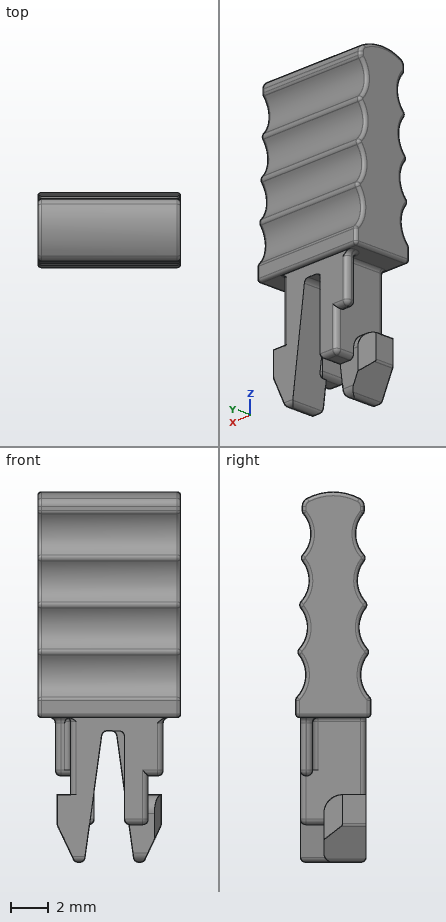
import cadquery as cq
import math

HANDLE_LENGTH = 7.6
HANDLE_HEIGHT = 12.0
BASE_HALF_WIDTH = 2.0
TOP_HALF_WIDTH = 1.65
CROWN_RADIUS = 3.0
GROOVE_COUNT = 4
GROOVE_PITCH = 2.5
FIRST_RIDGE_Z = 1.0
FIRST_RIDGE_HALF_WIDTH = 2.06
RIDGE_STEP = 0.09
GROOVE_RADIUS = 1.7
RIDGE_ROUND = 0.25
CROWN_ROUND = 0.5
HANDLE_ROUND = 0.2

STEM_HALF_LENGTH = 2.07
STEM_HALF_WIDTH = 1.75
STEM_DEPTH = 5.7
STEM_ROUND = 0.3
STEM_FLARE = 0.2
WING_REACH = 2.87
WING_THICKNESS = 0.65
WING_DEPTH = 3.1
WING_ROUND = 0.31
WING_FLARE = 0.3

SLOT_TOP_Z = -0.71
SLOT_ROUND = 0.3
SLOT_TOP_HALF_WIDTH = 0.365
SLOT_ANGLE = 7.8
GUARD_INNER_X = 0.81
LEG_LENGTH = 7.7
LEG_BOTTOM_Z = -LEG_LENGTH
HOOK_TOP_Z = -4.1
HOOK_TAPER_Z = -5.72
HOOK_REACH = 2.77
HOOK_TAPER_ANGLE = 25.5
HOOK_TAPER_ROUND = 0.35
HOOK_INNER_Y = 0.5
HOOK_TOP_ROUND = 1.0
HOOK_SIDE_ROUND = 0.5
TIP_ROUND = 0.3
HOOK_BEVEL_WIDTH = 1.0
HOOK_BEVEL_DROP = 0.37

OVERLAP = 0.3


def with_opposite(shape):
    """Join a shape to its copy turned half a turn about Z."""
    return shape.union(shape.rotate((0, 0, 0), (0, 0, 1), 180))


def box(x_min, x_max, y_min, y_max, z_min, z_max):
    size = (x_max - x_min, y_max - y_min, z_max - z_min)
    return cq.Workplane("XY").box(*size, centered=False).translate((x_min, y_min, z_min))


def slot_wall_x(z):
    """Distance of the sloping slot wall from the axis at height z."""
    return SLOT_TOP_HALF_WIDTH + (SLOT_TOP_Z - z) * math.tan(math.radians(SLOT_ANGLE))


def make_handle():
    """Grip with a grooved outline in the YZ plane, run along X and rounded on every edge."""
    half_pitch = GROOVE_PITCH / 2
    sagitta = GROOVE_RADIUS - math.sqrt(GROOVE_RADIUS**2 - half_pitch**2)

    def ridge(index):
        return (FIRST_RIDGE_HALF_WIDTH - index * RIDGE_STEP, FIRST_RIDGE_Z + index * GROOVE_PITCH)

    def valley(index):
        width, z = ridge(index + 0.5)
        return (width - sagitta, z)

    def groove_end(index, half_width, direction):
        """Point where a groove's circle meets a vertical wall."""
        valley_width, z = valley(index)
        offset = valley_width + GROOVE_RADIUS - half_width
        return (half_width, z + direction * math.sqrt(GROOVE_RADIUS**2 - offset**2))

    last = GROOVE_COUNT - 1
    peaks = [groove_end(0, BASE_HALF_WIDTH, -1)]
    peaks += [ridge(index) for index in range(1, GROOVE_COUNT)]
    peaks.append(groove_end(last, TOP_HALF_WIDTH, 1))
    valleys = [valley(index) for index in range(GROOVE_COUNT)]
    shoulder_z = HANDLE_HEIGHT - CROWN_RADIUS + math.sqrt(CROWN_RADIUS**2 - TOP_HALF_WIDTH**2)

    def mirrored(point):
        return (-point[0], point[1])

    outline = cq.Workplane("YZ").moveTo(-BASE_HALF_WIDTH, 0).lineTo(BASE_HALF_WIDTH, 0)
    outline = outline.lineTo(*peaks[0])
    for middle, end in zip(valleys, peaks[1:]):
        outline = outline.threePointArc(middle, end)
    outline = outline.lineTo(TOP_HALF_WIDTH, shoulder_z)
    outline = outline.threePointArc((0, HANDLE_HEIGHT), (-TOP_HALF_WIDTH, shoulder_z))
    outline = outline.lineTo(*mirrored(peaks[-1]))
    for middle, end in zip(reversed(valleys), reversed(peaks[:-1])):
        outline = outline.threePointArc(mirrored(middle), mirrored(end))
    outline = outline.close()
    body = outline.extrude(HANDLE_LENGTH / 2, both=True)

    crown_start_z = (peaks[-1][1] + shoulder_z) / 2
    far = HANDLE_LENGTH
    ridge_band = cq.selectors.BoxSelector((-far, -far, peaks[0][1] / 2), (far, far, crown_start_z))
    crown_band = cq.selectors.BoxSelector((-far, -far, crown_start_z), (far, far, HANDLE_HEIGHT))
    body = body.edges("|X").edges(ridge_band).fillet(RIDGE_ROUND)
    body = body.edges("|X").edges(crown_band).fillet(CROWN_ROUND)
    body = body.edges("|X and <Z").fillet(HANDLE_ROUND)
    return body.faces("<X or >X").edges().fillet(HANDLE_ROUND)


def add_flare(shape, radius):
    """Blend the sides of a shape into the handle's underside with a concave fillet.

    The flare is trimmed at the stem's Y faces, which stay flat up to the handle.
    """
    plate_x = HANDLE_LENGTH / 2
    plate = box(-plate_x, plate_x, -2 * BASE_HALF_WIDTH, 2 * BASE_HALF_WIDTH, 0, OVERLAP)
    reach_x = plate_x - OVERLAP
    tolerance = radius / 10
    underside = cq.selectors.BoxSelector(
        (-reach_x, -BASE_HALF_WIDTH, -tolerance),
        (reach_x, BASE_HALF_WIDTH, tolerance),
    )
    flared = shape.union(plate).edges(underside).fillet(radius)
    trim_x = plate_x - HANDLE_ROUND
    trim = box(-trim_x, trim_x, -STEM_HALF_WIDTH, STEM_HALF_WIDTH, -LEG_LENGTH, OVERLAP)
    return flared.intersect(trim)


def make_slot():
    """Half of the slot: sloping wall at -X, straight wall at +X, open to -Y."""
    return (
        cq.Workplane("XZ")
        .moveTo(-SLOT_TOP_HALF_WIDTH, SLOT_TOP_Z)
        .lineTo(GUARD_INNER_X, SLOT_TOP_Z)
        .lineTo(GUARD_INNER_X, LEG_BOTTOM_Z)
        .lineTo(-slot_wall_x(LEG_BOTTOM_Z), LEG_BOTTOM_Z)
        .close()
        .extrude(BASE_HALF_WIDTH)
        .edges("|Y and >Z")
        .fillet(SLOT_ROUND)
    )


def make_block():
    """Slotted block that carries the wings; its lower ends are the unhooked guards."""
    block = box(-STEM_HALF_LENGTH, STEM_HALF_LENGTH, -STEM_HALF_WIDTH, STEM_HALF_WIDTH, -STEM_DEPTH, OVERLAP)
    block = block.edges("|Z").fillet(STEM_ROUND)
    block = block.cut(with_opposite(make_slot()))
    return block.faces("<Z").edges().fillet(STEM_ROUND)


def make_wing(root_x):
    """Wing at the -X, +Y corner, with a rounded outer end, reaching in to root_x."""
    inner_y = STEM_HALF_WIDTH - WING_THICKNESS
    wing = box(-WING_REACH, root_x, inner_y, STEM_HALF_WIDTH, -WING_DEPTH, OVERLAP)
    wing = wing.edges("|Z and <X").fillet(WING_ROUND)
    return wing.faces("<Z").edges("not >X").fillet(STEM_ROUND)


def make_root_blend():
    """Concave fillet in the corner between the wing's inner side and the block."""
    inner_y = STEM_HALF_WIDTH - WING_THICKNESS
    return (
        cq.Workplane("XY", origin=(0, 0, -WING_DEPTH + STEM_ROUND))
        .moveTo(-STEM_HALF_LENGTH, inner_y - STEM_ROUND)
        .radiusArc((-STEM_HALF_LENGTH - STEM_ROUND, inner_y), -STEM_ROUND)
        .lineTo(-STEM_HALF_LENGTH, inner_y)
        .close()
        .extrude(WING_DEPTH - STEM_ROUND + OVERLAP)
    )


def make_hook():
    """Hooked leg at -X; it fills the stem's width from the -Y side to HOOK_INNER_Y."""
    taper_run = (HOOK_TAPER_Z - LEG_BOTTOM_Z) * math.tan(math.radians(HOOK_TAPER_ANGLE))
    leg = (
        cq.Workplane("XZ", origin=(0, HOOK_INNER_Y, 0))
        .moveTo(-slot_wall_x(HOOK_TOP_Z), HOOK_TOP_Z)
        .lineTo(-HOOK_REACH, HOOK_TOP_Z)
        .lineTo(-HOOK_REACH, HOOK_TAPER_Z)
        .lineTo(-HOOK_REACH + taper_run, LEG_BOTTOM_Z)
        .lineTo(-slot_wall_x(LEG_BOTTOM_Z), LEG_BOTTOM_Z)
        .close()
        .extrude(HOOK_INNER_Y + STEM_HALF_WIDTH)
        .edges("|Y and <Z")
        .fillet(TIP_ROUND)
        .edges(cq.selectors.NearestToPointSelector((-HOOK_REACH, -HOOK_INNER_Y, HOOK_TAPER_Z)))
        .fillet(HOOK_TAPER_ROUND)
    )
    bevel = (
        cq.Workplane("XY", origin=(0, 0, LEG_BOTTOM_Z))
        .moveTo(-HOOK_REACH, HOOK_INNER_Y - HOOK_BEVEL_WIDTH)
        .lineTo(-HOOK_REACH, HOOK_INNER_Y)
        .lineTo(-HOOK_REACH + HOOK_BEVEL_DROP, HOOK_INNER_Y)
        .close()
        .extrude(HOOK_TOP_Z - LEG_BOTTOM_Z)
    )
    side_outline = box(-HOOK_REACH, 0, -STEM_HALF_WIDTH, HOOK_INNER_Y, LEG_BOTTOM_Z, HOOK_TOP_Z)
    side_outline = side_outline.edges("|X and >Y and >Z").fillet(HOOK_TOP_ROUND)
    side_outline = side_outline.edges("|X and >Y and <Z").fillet(HOOK_SIDE_ROUND)
    side_outline = side_outline.edges("|X and <Y and <Z").fillet(TIP_ROUND)
    return leg.cut(bevel).intersect(side_outline)


wing = make_wing(-STEM_HALF_LENGTH + 2 * STEM_ROUND)
stem = make_block().union(with_opposite(wing.union(make_root_blend())))
stem = add_flare(stem, STEM_FLARE)

wing_end = make_wing(-STEM_HALF_LENGTH - STEM_ROUND)
stem = stem.union(with_opposite(add_flare(wing_end, WING_FLARE)))

result = make_handle().union(stem).union(with_opposite(make_hook()))